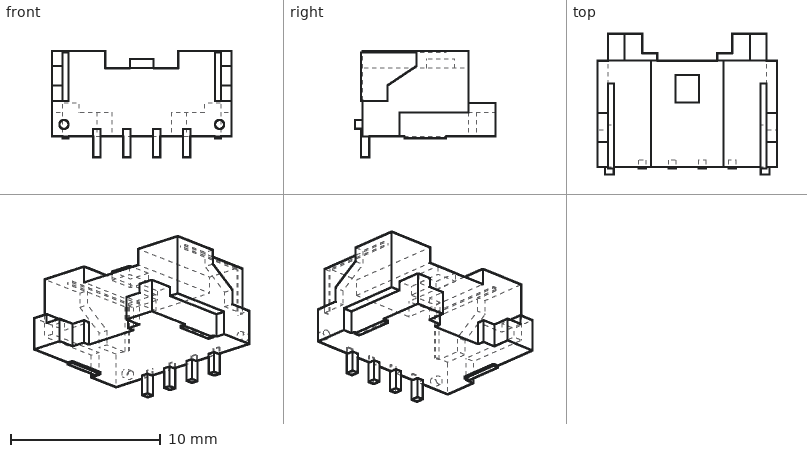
import cadquery as cq


body_width = 12.0
body_depth = 7.1
body_height = 5.7
channel_width = 4.86
channel_floor_z = 4.56

key_width = 1.6
key_front_y = 4.3
key_back_y = 6.15
key_top_z = 5.18

blade_outer_x = 5.3
blade_thickness = 0.43
blade_proud = 0.1
blade_top_z = body_height - 0.1
blade_bottom_z = 2.37
blade_back_y = 5.59
blade_foot_front_y = 2.8
blade_foot_drop = 0.13

window_back_y = 3.61
window_step_y = 1.68
window_slope_top_z = 4.69
window_slope_bottom_z = 3.4

recess_front_y = 2.49
recess_height = 1.6

leg_back_y = 8.9
rail_inner_x = 4.19
rail_height = 2.24
foot_inner_x = 3.0
foot_height = recess_height
toe_inner_x = 2.0
toe_back_y = 7.61

pin_count = 4
pin_pitch = 2.0
pin_width = 0.5
pin_proud = 0.1
pin_back_y = 0.47
pin_top_z = 0.5
pin_drop = 1.4

peg_diameter = 0.6
peg_length = 0.5
peg_x = 5.19
peg_z = 0.8

body_half_width = body_width / 2
blade_inner_x = blade_outer_x - blade_thickness


def box(x_range, y_range, z_range):
    """Axis-aligned box between the given (low, high) limits."""
    size = [high - low for low, high in (x_range, y_range, z_range)]
    corner = (x_range[0], y_range[0], z_range[0])
    return cq.Workplane("XY").box(*size, centered=False).translate(corner)


def both_ends(shape):
    """The shape at the +X end together with its mirror image at the -X end."""
    return shape.union(shape.mirror("YZ"))


def make_housing():
    block = box((-body_half_width, body_half_width), (0, body_depth), (0, body_height))
    half_channel = channel_width / 2
    channel = box((-half_channel, half_channel), (0, body_depth), (channel_floor_z, body_height))
    half_key = key_width / 2
    key = box((-half_key, half_key), (key_front_y, key_back_y), (channel_floor_z, key_top_z))
    return block.cut(channel).union(key)


def make_end_window():
    return (
        cq.Workplane("YZ", origin=(blade_outer_x, 0, 0))
        .moveTo(0, body_height)
        .lineTo(window_back_y, body_height)
        .lineTo(window_back_y, window_slope_top_z)
        .lineTo(window_step_y, window_slope_bottom_z)
        .lineTo(window_step_y, blade_bottom_z)
        .lineTo(0, blade_bottom_z)
        .close()
        .extrude(body_half_width - blade_outer_x)
    )


def make_end_recess():
    return box((blade_outer_x, body_half_width), (recess_front_y, body_depth), (0, recess_height))


def make_blade_slot():
    return box((blade_inner_x, blade_outer_x), (0, blade_back_y), (blade_top_z, body_height))


def make_blade():
    thickness = (blade_inner_x, blade_outer_x)
    plate = box(thickness, (-blade_proud, blade_back_y), (blade_bottom_z, blade_top_z))
    foot = box(thickness, (blade_foot_front_y, blade_back_y), (-blade_foot_drop, blade_bottom_z))
    return plate.union(foot)


def make_leg():
    rail = box((rail_inner_x, blade_outer_x), (body_depth, leg_back_y), (0, rail_height))
    foot = box((foot_inner_x, rail_inner_x), (body_depth, leg_back_y), (0, foot_height))
    toe = box((toe_inner_x, foot_inner_x), (body_depth, toe_back_y), (0, foot_height))
    return rail.union(foot).union(toe)


def make_peg():
    return (
        cq.Workplane("XZ", origin=(peg_x, 0, peg_z))
        .circle(peg_diameter / 2)
        .extrude(peg_length)
    )


def make_pin(center_x):
    half_pin = pin_width / 2
    return box(
        (center_x - half_pin, center_x + half_pin),
        (-pin_proud, pin_back_y),
        (-pin_drop, pin_top_z),
    )


result = make_housing()

for make_cut in (make_end_window, make_end_recess, make_blade_slot):
    result = result.cut(both_ends(make_cut()))

for make_addition in (make_blade, make_leg, make_peg):
    result = result.union(both_ends(make_addition()))

for index in range(pin_count):
    pin_x = (index - (pin_count - 1) / 2) * pin_pitch
    result = result.union(make_pin(pin_x))